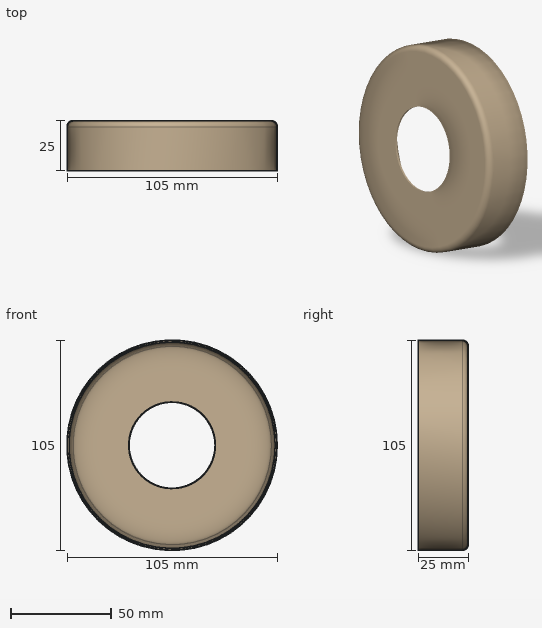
import cadquery as cq

outer_diameter = 105.0
depth = 25.0
sheet_thickness = 1.0
hole_diameter = 43.0
outer_bend_radius = 3.0

outer_radius = outer_diameter / 2
inner_radius = outer_radius - sheet_thickness
inner_bend_radius = outer_bend_radius - sheet_thickness

rim_y = 0.0
back_y = rim_y + depth


def disc(radius, start_y, end_y):
    """Solid cylinder about the Y axis between two Y positions."""
    plane = cq.Workplane("XZ", origin=(0, start_y, 0))
    return plane.circle(radius).extrude(start_y - end_y)


def rounded_disc(radius, start_y, end_y, bend_radius):
    """Cylinder about the Y axis with its +Y edge rounded."""
    return disc(radius, start_y, end_y).faces(">Y").edges().fillet(bend_radius)


outer_body = rounded_disc(outer_radius, rim_y, back_y, outer_bend_radius)
cavity = rounded_disc(inner_radius, rim_y, back_y - sheet_thickness, inner_bend_radius)
cup = outer_body.cut(cavity)

centre_hole = disc(hole_diameter / 2, rim_y, back_y)

result = cup.cut(centre_hole)